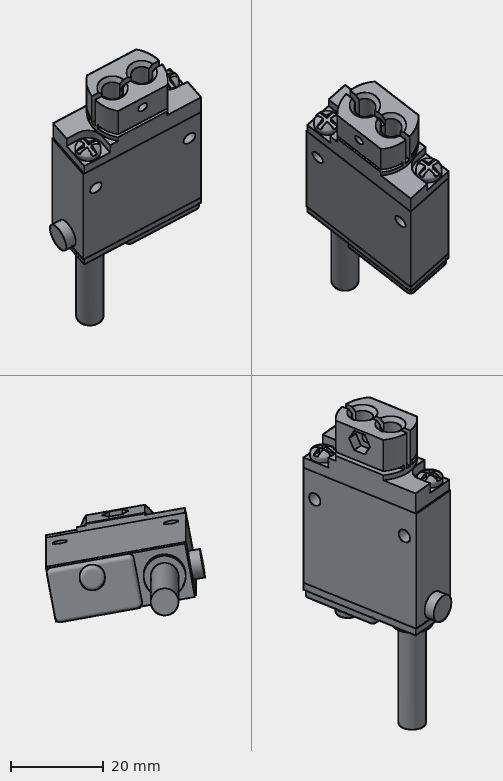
import cadquery as cq
import math


WIDTH = 11.99
COVER_LENGTH = 30.5
BACK_Y = COVER_LENGTH / 2
COVER_FRONT_Y = -COVER_LENGTH / 2
HOUSING_OVERHANG = 0.25
HOUSING_FRONT_Y = COVER_FRONT_Y - HOUSING_OVERHANG
HOUSING_HEIGHT = 29.33
MOUNTING_HOLE_DIAMETER = 3.1
MOUNTING_HOLE_SPACING = 24.4
MOUNTING_HOLE_Z = 22.4

SHOULDER_HEIGHT = 5.07
SHOULDER_Z = HOUSING_HEIGHT + SHOULDER_HEIGHT
PEDESTAL_HEIGHT = 1.3
HEAD_TOP_Z = 44.7
HEAD_RADIUS = 8.8
JAW_SLOT_FLOOR_Z = SHOULDER_Z + PEDESTAL_HEIGHT
JAW_SLOT_HEIGHT = 1.0
JAW_WEB_WIDTH = 2.9
SPLIT_WIDTH = 1.2
FIBRE_SPACING = 7.65
FIBRE_HOLE_DIAMETER = 4.7
FIBRE_MOUTH_DIAMETER = 6.6
FIBRE_BARREL_DIAMETER = 6.8
CLAMP_HOLE_DIAMETER = 2.3
CLAMP_HOLE_DROP = 3.15
CLAMP_HOLE_Z = HEAD_TOP_Z - CLAMP_HOLE_DROP
NUT_ACROSS_FLATS = 4.95
NUT_POCKET_DEPTH = 2.4

SCREW_RADIUS = 2.8
SCREW_X = 3.0
SCREW_Y = 12.25
SCREW_POCKET_RADIUS = 3.75
SCREW_POCKET_DEPTH = 2.47
SCREW_SEAT_Z = SHOULDER_Z - SCREW_POCKET_DEPTH
SCREW_RIM_HEIGHT = 0.9
SCREW_EDGE_HEIGHT = 1.4
SCREW_EDGE_RADIUS = 2.6
SCREW_HEIGHT = 2.3
SCREW_CROSS_WIDTH = 1.1
SCREW_CROSS_FLOOR = 1.3

BASE_THICKNESS = 1.8
LID_LENGTH = 19.1
LID_THICKNESS = 2.05
LID_CORNER_RADIUS = 1.1
LID_EDGE_RADIUS = 0.9
KNOB_DIAMETER = 5.5
KNOB_HEIGHT = 1.8
KNOB_EDGE_RADIUS = 0.9
KNOB_X = -2.8
KNOB_Y = 5.65

BUTTON_DIAMETER = 6.3
BUTTON_LENGTH = 2.52
BUTTON_Z = BUTTON_DIAMETER / 2

CABLE_DIAMETER = 6.0
CABLE_Y = -9.72
CABLE_END_Z = -29.07
COLLAR_DIAMETER = 9.1
COLLAR_THICKNESS = 1.6


def block(y_front, y_back, z_bottom, z_top, width=WIDTH):
    """Box centred on X = 0 between the given Y and Z limits."""
    return (
        cq.Workplane("XY")
        .box(width, y_back - y_front, z_top - z_bottom, centered=(True, False, False))
        .translate((0, y_front, z_bottom))
    )


def cylinder(x, y, z_bottom, z_top, diameter):
    """Upright cylinder."""
    return cq.Workplane("XY", origin=(x, y, z_bottom)).circle(diameter / 2).extrude(z_top - z_bottom)


def make_housing():
    body = block(HOUSING_FRONT_Y, BACK_Y, 0, HOUSING_HEIGHT)
    holes = (
        cq.Workplane("YZ", origin=(-WIDTH / 2, 0, MOUNTING_HOLE_Z))
        .rarray(MOUNTING_HOLE_SPACING, 1, 2, 1)
        .circle(MOUNTING_HOLE_DIAMETER / 2)
        .extrude(WIDTH)
    )
    return body.cut(holes)


def make_screw_pocket():
    """Corner pocket at -X, +Y with its inner corner rounded about the screw axis."""
    inner_x = -SCREW_X + SCREW_POCKET_RADIUS
    inner_y = SCREW_Y - SCREW_POCKET_RADIUS
    arc_offset = SCREW_POCKET_RADIUS * math.sqrt(0.5)
    return (
        cq.Workplane("XY", origin=(0, 0, SCREW_SEAT_Z))
        .moveTo(-WIDTH / 2, BACK_Y)
        .lineTo(-WIDTH / 2, inner_y)
        .lineTo(-SCREW_X, inner_y)
        .threePointArc((-SCREW_X + arc_offset, SCREW_Y - arc_offset), (inner_x, SCREW_Y))
        .lineTo(inner_x, BACK_Y)
        .close()
        .extrude(SCREW_POCKET_DEPTH)
    )


def make_jaw_slots(fibre_ys):
    """Side slots under the jaws, leaving the centre web and a round barrel about each fibre."""
    roof_z = JAW_SLOT_FLOOR_Z + JAW_SLOT_HEIGHT
    slots = block(-HEAD_RADIUS, HEAD_RADIUS, JAW_SLOT_FLOOR_Z, roof_z)
    slots = slots.cut(block(-HEAD_RADIUS, HEAD_RADIUS, JAW_SLOT_FLOOR_Z, roof_z, JAW_WEB_WIDTH))
    for y in fibre_ys:
        slots = slots.cut(cylinder(0, y, JAW_SLOT_FLOOR_Z, roof_z, FIBRE_BARREL_DIAMETER))
    return slots


def make_fibre_hole(y):
    """Hole down through the cap with a 45 degree mouth."""
    mouth_depth = (FIBRE_MOUTH_DIAMETER - FIBRE_HOLE_DIAMETER) / 2
    hole = cylinder(0, y, HOUSING_HEIGHT, HEAD_TOP_Z, FIBRE_HOLE_DIAMETER)
    mouth = cq.Workplane(
        cq.Solid.makeCone(
            FIBRE_HOLE_DIAMETER / 2,
            FIBRE_MOUTH_DIAMETER / 2,
            mouth_depth,
            cq.Vector(0, y, HEAD_TOP_Z - mouth_depth),
        )
    )
    return hole.union(mouth)


def make_clamp_hole():
    """Cross hole that draws the jaws together, with a hexagonal nut pocket on the -X side."""
    side = cq.Workplane("YZ", origin=(-WIDTH / 2, 0, CLAMP_HOLE_Z))
    hole = side.circle(CLAMP_HOLE_DIAMETER / 2).extrude(WIDTH)
    nut_pocket = side.polygon(6, NUT_ACROSS_FLATS, circumscribed=True).extrude(NUT_POCKET_DEPTH)
    nut_pocket = nut_pocket.rotate((0, 0, CLAMP_HOLE_Z), (1, 0, CLAMP_HOLE_Z), 30)
    return hole.union(nut_pocket)


def make_cap():
    body = block(COVER_FRONT_Y, BACK_Y, HOUSING_HEIGHT, SHOULDER_Z)
    head = cylinder(0, 0, HOUSING_HEIGHT, HEAD_TOP_Z, 2 * HEAD_RADIUS)
    head = head.intersect(block(-HEAD_RADIUS, HEAD_RADIUS, HOUSING_HEIGHT, HEAD_TOP_Z))
    body = body.union(head)

    pocket = make_screw_pocket()
    body = body.cut(pocket)
    body = body.cut(pocket.rotate((0, 0, 0), (0, 0, 1), 180))

    fibre_ys = [-FIBRE_SPACING / 2, FIBRE_SPACING / 2]
    body = body.cut(make_jaw_slots(fibre_ys))
    body = body.cut(block(-HEAD_RADIUS, HEAD_RADIUS, JAW_SLOT_FLOOR_Z, HEAD_TOP_Z, SPLIT_WIDTH))
    for y in fibre_ys:
        body = body.cut(make_fibre_hole(y))
    return body.cut(make_clamp_hole())


def make_screw(x, y):
    """Domed screw head with a cross recess."""
    rise = SCREW_HEIGHT - SCREW_EDGE_HEIGHT
    dome_radius = (SCREW_EDGE_RADIUS ** 2 + rise ** 2) / (2 * rise)
    mid_x = SCREW_EDGE_RADIUS / 2
    mid_z = SCREW_HEIGHT - dome_radius + math.sqrt(dome_radius ** 2 - mid_x ** 2)
    head = (
        cq.Workplane("XZ")
        .lineTo(SCREW_RADIUS, 0)
        .lineTo(SCREW_RADIUS, SCREW_RIM_HEIGHT)
        .tangentArcPoint((SCREW_EDGE_RADIUS, SCREW_EDGE_HEIGHT), relative=False)
        .threePointArc((mid_x, mid_z), (0, SCREW_HEIGHT))
        .close()
        .revolve()
    )
    floor = cq.Workplane("XY", origin=(0, 0, SCREW_CROSS_FLOOR))
    cross_arm = floor.rect(SCREW_CROSS_WIDTH, 2 * SCREW_RADIUS).extrude(SCREW_HEIGHT - SCREW_CROSS_FLOOR)
    for angle in (0, 90):
        head = head.cut(cross_arm.rotate((0, 0, 0), (0, 0, 1), angle))
    return head.translate((x, y, SCREW_SEAT_Z))


def make_lid():
    top_z = -BASE_THICKNESS
    lid = block(BACK_Y - LID_LENGTH, BACK_Y, top_z - LID_THICKNESS, top_z)
    return lid.edges("|Z").fillet(LID_CORNER_RADIUS).faces("<Z").edges().fillet(LID_EDGE_RADIUS)


def make_knob():
    top_z = -BASE_THICKNESS - LID_THICKNESS
    knob = cylinder(KNOB_X, KNOB_Y, top_z - KNOB_HEIGHT, top_z, KNOB_DIAMETER)
    return knob.faces("<Z").edges().fillet(KNOB_EDGE_RADIUS)


def make_button():
    face = cq.Workplane("XZ", origin=(0, HOUSING_FRONT_Y, BUTTON_Z))
    return face.circle(BUTTON_DIAMETER / 2).extrude(BUTTON_LENGTH)


def make_cable():
    top_z = -BASE_THICKNESS
    collar = cylinder(0, CABLE_Y, top_z - COLLAR_THICKNESS, top_z, COLLAR_DIAMETER)
    return collar.union(cylinder(0, CABLE_Y, CABLE_END_Z, top_z, CABLE_DIAMETER))


housing = make_housing()
cap = make_cap()
base_plate = block(COVER_FRONT_Y, BACK_Y, -BASE_THICKNESS, 0)
screws = [make_screw(side * SCREW_X, -side * SCREW_Y) for side in (-1, 1)]
lid = make_lid()
knob = make_knob()
button = make_button()
cable = make_cable()

result = cq.Compound.makeCompound(
    [
        housing.val(),
        cap.val(),
        base_plate.val(),
        *[screw.val() for screw in screws],
        lid.val(),
        knob.val(),
        button.val(),
        cable.val(),
    ]
)